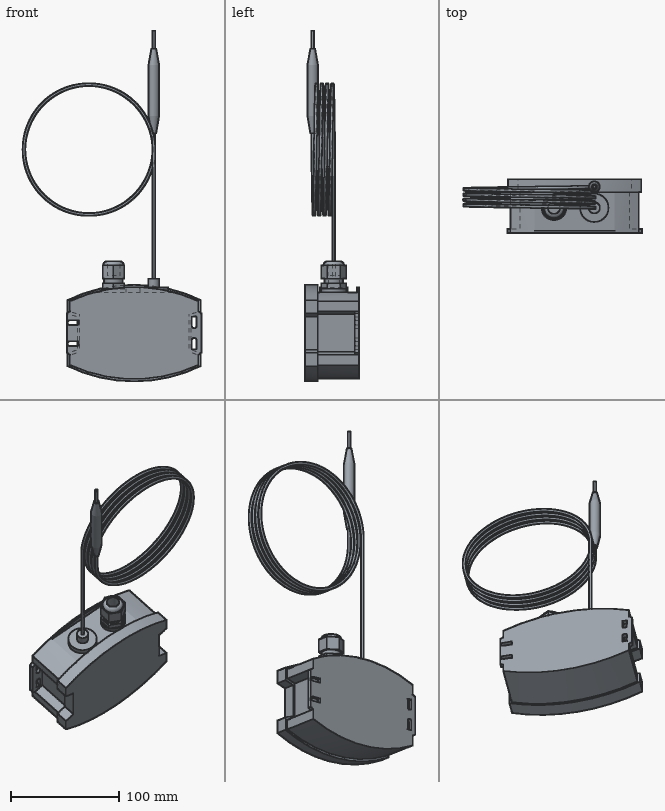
import cadquery as cq
import math


depth = 50.0
cover_depth = 12.0
cover_start = depth - cover_depth
cover_half_width = 61.5
cover_half_height = 44.7
cover_corner_height = 30.5
cover_notch_floor = 52.5
cover_notch_outer = 18.0
base_offset = 2.3
base_half_width = cover_half_width - base_offset
base_half_height = 42.5
base_corner_height = 29.5
base_notch_floor = 50.5
base_notch_outer = 20.0
notch_taper = 3.0
mid_height = cover_half_height

plate_thickness = 4.0
tab_half_width = 62.2
tab_half_height = 18.0
slot_width = 4.2
slot_length = 10.5
left_slot_end = -51.2
left_slot_height = 9.7
right_slot_x = 55.5
right_slot_end = 15.0

seat_half_height = 37.5
seat_rim = 2.0
seat_z = mid_height + seat_half_height

entry_y = 23.3
gland_x = -19.0
gland_hex_flats = 20.0
gland_flange_diameter = 22.7
gland_flange_top = mid_height + 41.0
gland_lower_hex_top = mid_height + 46.0
gland_neck_diameter = 17.5
gland_nut_bottom = mid_height + 50.2
gland_nut_top = mid_height + 62.5
gland_dome_diameter = 19.0
gland_bore_diameter = 11.5
gland_dome_round = (gland_dome_diameter - gland_bore_diameter) / 2
gland_dome_top = gland_nut_top + gland_dome_round
gland_bore_depth = 13.0

sensor_x = 18.0
flange_diameter = 26.2
flange_top = mid_height + 42.5
bushing_diameter = 10.5
bushing_top = mid_height + 50.2
tube_diameter = 2.75
coil_radius = 60.0
coil_pitch = 5.0
coil_turns = 4
coil_z = 214.2
probe_y = entry_y + coil_turns * coil_pitch
probe_diameter = 10.0
cone_end_diameter = 4.5
lower_cone_bottom = 229.0
probe_bottom = 245.3
probe_top = 292.2
upper_cone_top = 307.5
tip_top = 324.0


def front_plane(y):
    """Plane parallel to the mounting face, with its normal along -Y and local y along Z."""
    return cq.Workplane(cq.Plane(origin=(0, y, mid_height), xDir=(1, 0, 0), normal=(0, -1, 0)))


def barrel(y, length, half_width, corner_height, half_height):
    """Block with straight sides and arched top and bottom, running from y toward +Y."""
    return (
        front_plane(y)
        .moveTo(-half_width, -corner_height)
        .threePointArc((0, -half_height), (half_width, -corner_height))
        .lineTo(half_width, corner_height)
        .threePointArc((0, half_height), (-half_width, corner_height))
        .close()
        .extrude(-length)
    )


def side_notch(side, y, length, half_width, floor, outer_height):
    """Tapered notch in one side, wider at the outside; side is -1 or +1."""
    floor_height = outer_height - notch_taper
    return (
        front_plane(y)
        .polyline([
            (side * floor, -floor_height),
            (side * half_width, -outer_height),
            (side * half_width, outer_height),
            (side * floor, floor_height),
        ])
        .close()
        .extrude(-length)
    )


def make_slot(x, z, turn):
    """Slot cutter: square end at (x, z), the other end round; turn is its direction in degrees."""
    straight = slot_length - slot_width / 2
    cutter = (
        cq.Workplane("XZ")
        .moveTo(0, -slot_width / 2)
        .lineTo(straight, -slot_width / 2)
        .threePointArc((slot_length, 0), (straight, slot_width / 2))
        .lineTo(0, slot_width / 2)
        .close()
        .extrude(-plate_thickness)
    )
    return cutter.rotate((0, 0, 0), (0, -1, 0), turn).translate((x, 0, mid_height + z))


def cylinder(x, y, bottom, top, diameter):
    return (
        cq.Workplane("XY", origin=(x, y, bottom))
        .circle(diameter / 2)
        .extrude(top - bottom)
    )


def hexagon(bottom, top):
    """Hexagonal prism on the gland axis with corners toward -Y and +Y."""
    corner_diameter = gland_hex_flats / math.cos(math.radians(30))
    prism = cq.Workplane("XY").polygon(6, corner_diameter).extrude(top - bottom)
    return prism.rotate((0, 0, 0), (0, 0, 1), 90).translate((gland_x, entry_y, bottom))


def make_dome():
    """Cap of the gland, rounded by a quarter circle from its rim up to the bore."""
    round_side = gland_dome_round * math.sin(math.radians(45))
    return (
        cq.Workplane("XZ")
        .moveTo(0, gland_nut_top)
        .lineTo(gland_dome_diameter / 2, gland_nut_top)
        .threePointArc(
            (gland_bore_diameter / 2 + round_side, gland_nut_top + round_side),
            (gland_bore_diameter / 2, gland_dome_top),
        )
        .lineTo(0, gland_dome_top)
        .close()
        .revolve(360, (0, 0, 0), (0, 1, 0))
        .translate((gland_x, entry_y, 0))
    )


def make_gland():
    bore_bottom = gland_dome_top - gland_bore_depth
    return (
        cylinder(gland_x, entry_y, seat_z, gland_flange_top, gland_flange_diameter)
        .union(hexagon(gland_flange_top, gland_lower_hex_top))
        .union(cylinder(gland_x, entry_y, gland_lower_hex_top, gland_nut_bottom, gland_neck_diameter))
        .union(hexagon(gland_nut_bottom, gland_nut_top))
        .union(make_dome())
        .cut(cylinder(gland_x, entry_y, bore_bottom, gland_dome_top, gland_bore_diameter))
    )


def make_enclosure():
    base = barrel(0, cover_start, base_half_width, base_corner_height, base_half_height)
    cover = barrel(cover_start, cover_depth, cover_half_width, cover_corner_height, cover_half_height)
    for side in (-1, 1):
        base = base.cut(side_notch(
            side, plate_thickness, cover_start - plate_thickness,
            base_half_width, base_notch_floor, base_notch_outer,
        ))
        cover = cover.cut(side_notch(
            side, cover_start, cover_depth,
            cover_half_width, cover_notch_floor, cover_notch_outer,
        ))

    seat_cut = cq.Workplane("XY").box(
        2 * base_half_width, cover_start - seat_rim, base_half_height - seat_half_height,
        centered=(True, False, False),
    ).translate((0, seat_rim, seat_z))
    base = base.cut(seat_cut)

    tabs = (
        front_plane(0)
        .polyline([
            (-base_half_width, -base_notch_outer),
            (base_half_width, -base_notch_outer),
            (tab_half_width, -tab_half_height),
            (tab_half_width, tab_half_height),
            (base_half_width, base_notch_outer),
            (-base_half_width, base_notch_outer),
            (-tab_half_width, tab_half_height),
            (-tab_half_width, -tab_half_height),
        ])
        .close()
        .extrude(-plate_thickness)
    )
    enclosure = base.union(cover).union(tabs)

    for side in (-1, 1):
        enclosure = enclosure.cut(make_slot(left_slot_end, side * left_slot_height, 180))
        enclosure = enclosure.cut(make_slot(right_slot_x, side * right_slot_end, -side * 90))
    return enclosure.union(make_gland())


def make_coil():
    """Coil about an axis along Y, starting at the riser tube and climbing over toward -X."""
    helix = cq.Wire.makeHelix(coil_pitch, coil_turns * coil_pitch, coil_radius, lefthand=True)
    helix = helix.rotate(cq.Vector(0, 0, 0), cq.Vector(1, 0, 0), -90)
    helix = helix.translate(cq.Vector(sensor_x - coil_radius, entry_y, coil_z))
    return (
        cq.Workplane("XY", origin=(sensor_x, entry_y, coil_z))
        .circle(tube_diameter / 2)
        .sweep(cq.Workplane(helix), isFrenet=True)
    )


def make_probe():
    """Revolved bulb with a cone at each end, a thin tip above and the tube below."""
    return (
        cq.Workplane("XZ")
        .polyline([
            (0, coil_z),
            (tube_diameter / 2, coil_z),
            (tube_diameter / 2, lower_cone_bottom),
            (cone_end_diameter / 2, lower_cone_bottom),
            (probe_diameter / 2, probe_bottom),
            (probe_diameter / 2, probe_top),
            (cone_end_diameter / 2, upper_cone_top),
            (tube_diameter / 2, upper_cone_top),
            (tube_diameter / 2, tip_top),
            (0, tip_top),
        ])
        .close()
        .revolve(360, (0, 0, 0), (0, 1, 0))
        .translate((sensor_x, probe_y, 0))
    )


def make_sensor():
    return (
        cylinder(sensor_x, entry_y, seat_z, flange_top, flange_diameter)
        .union(cylinder(sensor_x, entry_y, flange_top, bushing_top, bushing_diameter))
        .union(cylinder(sensor_x, entry_y, bushing_top, coil_z, tube_diameter))
        .union(make_coil())
        .union(make_probe())
    )


enclosure = make_enclosure()
sensor = make_sensor()

result = cq.Compound.makeCompound([enclosure.solids().val(), sensor.solids().val()])